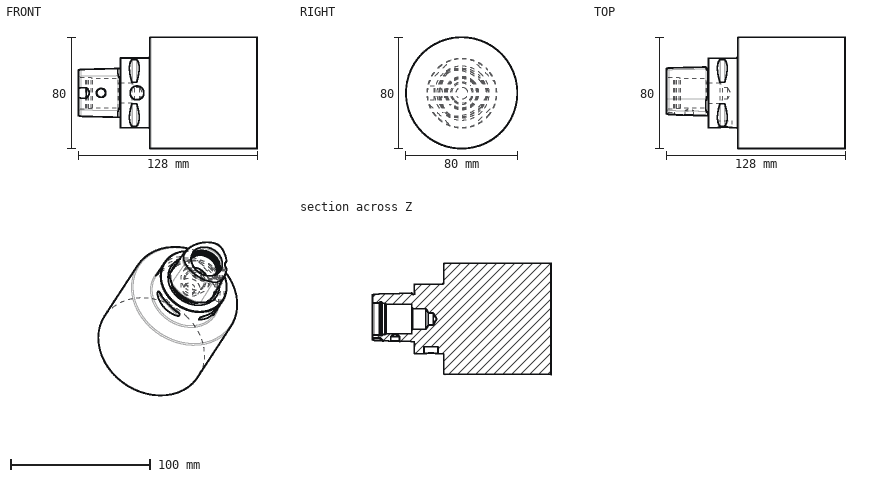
import cadquery as cq
import math


cut_clearance = 1.3

tip_chamfer_end = 1.7
taper_end = 28.0
flange_start = 30.0
flange_fillet_start = 50.2
body_start = 51.1
overall_length = 128.0

flange_radius = 50.0 / 2
flange_chamfer = 0.4
flange_fillet = body_start - flange_fillet_start
body_radius = 80.0 / 2
body_edge_fillet = 0.9

lobe_triangle_side = 14.8
neck_width = 35.1
neck_fillet = 0.3
taper_ratio = 1 / 20
tip_chamfer_depth = 0.5

relief_radius = 2.0 / 2
relief_ring_radius = 18.7
relief_center_x = 29.3

mouth_radius = 11.8
entry_radius = 11.4
bore_groove_radius = 24.0 / 2
lip_radius = 11.1
main_bore_radius = 21.0 / 2
seat_radius = 16.3 / 2
screw_hole_radius = 14.5 / 2
coolant_hole_radius = 8.5 / 2
mouth_chamfer_end = 1.4
bore_groove_start = 4.9
bore_groove_end = 7.2
bore_groove_slope = 0.6
lip_end = 9.0
main_bore_start = 10.0
seat_x = 28.2
screw_hole_end = 38.4
coolant_hole_end = 43.5
drill_tip_slope = math.tan(math.radians(30))

notch_radius = 5.0
notch_axis_offset = 18.8
notch_length = 5.6
notch_tip_length = 5.4

shank_hole_radius = 6.1 / 2
shank_hole_x = 16.3
shank_hole_depth = 3.5
shank_hole_chamfer = 0.4
flange_hole_radius = 10.0 / 2
flange_hole_x = 42.0
flange_hole_depth = 5.0

gripper_count = 4
gripper_x = 40.0
gripper_floor_width = 3.5
gripper_floor_fillet = 0.5
gripper_floor_distance = 22.3
gripper_flank_angle = 33.0


def revolve_about_x(points):
    """Solid of revolution about X from a closed (x, radius) outline."""
    outline = cq.Workplane("XY").polyline(points).close()
    return outline.revolve(360, (0, 0, 0), (1, 0, 0))


def polar(radius, degrees):
    angle = math.radians(degrees)
    return radius * math.cos(angle), radius * math.sin(angle)


def add_lobed_outline(workplane, width):
    """Closed outline of six tangent arcs, with one lobe pointing toward +Y."""
    corner_radius = (width - lobe_triangle_side) / 2
    side_radius = corner_radius + lobe_triangle_side
    center_distance = lobe_triangle_side / math.sqrt(3)

    def arc_point(center_angle, radius, direction):
        center_y, center_z = polar(center_distance, center_angle)
        offset_y, offset_z = polar(radius, direction)
        return center_y + offset_y, center_z + offset_z

    outline = workplane.moveTo(*arc_point(0, corner_radius, -30))
    for lobe in (0, 120, 240):
        opposite = lobe + 240
        outline = outline.threePointArc(
            arc_point(lobe, corner_radius, lobe),
            arc_point(lobe, corner_radius, lobe + 30),
        )
        outline = outline.threePointArc(
            arc_point(opposite, side_radius, lobe + 60),
            arc_point(opposite, side_radius, lobe + 90),
        )
    return outline.close()


def lobed_segment(start_x, end_x, start_width, end_width):
    start = add_lobed_outline(cq.Workplane("YZ", origin=(start_x, 0, 0)), start_width)
    end_plane = start.workplane(offset=end_x - start_x)
    return add_lobed_outline(end_plane, end_width).loft(ruled=True)


def make_shank():
    chamfer_width = neck_width - (taper_end - tip_chamfer_end) * taper_ratio
    tip_width = chamfer_width - 2 * tip_chamfer_depth
    tip = lobed_segment(0, tip_chamfer_end, tip_width, chamfer_width)
    taper = lobed_segment(tip_chamfer_end, taper_end, chamfer_width, neck_width)
    neck = add_lobed_outline(cq.Workplane("YZ", origin=(taper_end, 0, 0)), neck_width)
    neck = neck.extrude(flange_start - taper_end)
    return tip.union(taper).union(neck)


def make_flange_and_body():
    fillet_outer_radius = flange_radius + flange_fillet
    flange_arc = flange_fillet * math.sqrt(0.5)
    edge_arc = body_edge_fillet * (1 - math.sqrt(0.5))
    outline = (
        cq.Workplane("XY")
        .moveTo(flange_start, 0)
        .lineTo(flange_start, flange_radius - flange_chamfer)
        .lineTo(flange_start + flange_chamfer, flange_radius)
        .lineTo(flange_fillet_start, flange_radius)
        .threePointArc(
            (flange_fillet_start + flange_arc, fillet_outer_radius - flange_arc),
            (body_start, fillet_outer_radius),
        )
        .lineTo(body_start, body_radius - body_edge_fillet)
        .threePointArc(
            (body_start + edge_arc, body_radius - edge_arc),
            (body_start + body_edge_fillet, body_radius),
        )
        .lineTo(overall_length, body_radius)
        .lineTo(overall_length, 0)
        .close()
    )
    return outline.revolve(360, (0, 0, 0), (1, 0, 0))


def make_relief_groove():
    ring = cq.Workplane("XY").center(relief_center_x, relief_ring_radius).circle(relief_radius)
    return ring.revolve(360, (0, -relief_ring_radius, 0), (1, -relief_ring_radius, 0))


def make_bore():
    screw_cone_length = (screw_hole_radius - coolant_hole_radius) * drill_tip_slope
    seat_chamfer = seat_radius - screw_hole_radius
    return revolve_about_x([
        (0, 0),
        (0, mouth_radius),
        (mouth_chamfer_end, entry_radius),
        (bore_groove_start, entry_radius),
        (bore_groove_start + bore_groove_slope, bore_groove_radius),
        (bore_groove_end - bore_groove_slope, bore_groove_radius),
        (bore_groove_end, lip_radius),
        (lip_end, lip_radius),
        (main_bore_start, main_bore_radius),
        (seat_x, main_bore_radius),
        (seat_x, seat_radius),
        (seat_x + seat_chamfer, screw_hole_radius),
        (screw_hole_end, screw_hole_radius),
        (screw_hole_end + screw_cone_length, coolant_hole_radius),
        (coolant_hole_end, coolant_hole_radius),
        (coolant_hole_end + coolant_hole_radius * drill_tip_slope, 0),
    ])


def make_drive_notch():
    drill = revolve_about_x([
        (0, 0),
        (0, notch_radius),
        (notch_length, notch_radius),
        (notch_length + notch_tip_length, 0),
    ])
    return drill.translate((0, -notch_axis_offset, 0))


def make_shank_hole():
    """Chamfered drill hole with a conical bottom, square to the -Y side of the taper."""
    hole_width = neck_width - (taper_end - shank_hole_x) * taper_ratio
    side_radius = (hole_width + lobe_triangle_side) / 2
    surface = side_radius - lobe_triangle_side / math.sqrt(3)
    rim_radius = shank_hole_radius + shank_hole_chamfer
    drill = revolve_about_x([
        (-cut_clearance, 0),
        (-cut_clearance, rim_radius),
        (0, rim_radius),
        (shank_hole_chamfer, shank_hole_radius),
        (shank_hole_depth, shank_hole_radius),
        (shank_hole_depth + shank_hole_radius * drill_tip_slope, 0),
    ])
    return drill.rotate((0, 0, 0), (0, 0, 1), 90).translate((shank_hole_x, -surface, 0))


def make_flange_hole():
    start = cq.Workplane("XZ", origin=(flange_hole_x, -(flange_radius - flange_hole_depth), 0))
    return start.circle(flange_hole_radius).extrude(flange_radius)


def make_gripper_groove(angle):
    """Straight trapezoidal groove across the flange, opening outward."""
    groove_height = flange_radius - gripper_floor_distance + cut_clearance
    flare = groove_height * math.tan(math.radians(gripper_flank_angle))
    floor_half = gripper_floor_width / 2
    outer_half = floor_half + flare
    groove = (
        cq.Workplane("XZ")
        .polyline([
            (gripper_x - floor_half, gripper_floor_distance),
            (gripper_x + floor_half, gripper_floor_distance),
            (gripper_x + outer_half, gripper_floor_distance + groove_height),
            (gripper_x - outer_half, gripper_floor_distance + groove_height),
        ])
        .close()
        .extrude(flange_radius, both=True)
        .faces("<Z")
        .edges("|Y")
        .fillet(gripper_floor_fillet)
    )
    return groove.rotate((0, 0, 0), (1, 0, 0), angle)


def fillet_neck_root(part):
    """Round the inner corner where the neck meets the flange face."""
    reach = flange_radius - 2 * flange_chamfer
    margin = 0.1
    root_edges = cq.selectors.BoxSelector(
        (flange_start - margin, -reach, -reach),
        (flange_start + margin, reach, reach),
        boundingbox=True,
    )
    return part.edges(root_edges).fillet(neck_fillet)


result = fillet_neck_root(make_flange_and_body().union(make_shank()))
result = result.cut(make_relief_groove())
result = result.cut(make_bore())
result = result.cut(make_drive_notch())
result = result.cut(make_shank_hole())
result = result.cut(make_flange_hole())
for index in range(gripper_count):
    result = result.cut(make_gripper_groove(45 + index * 360 / gripper_count))